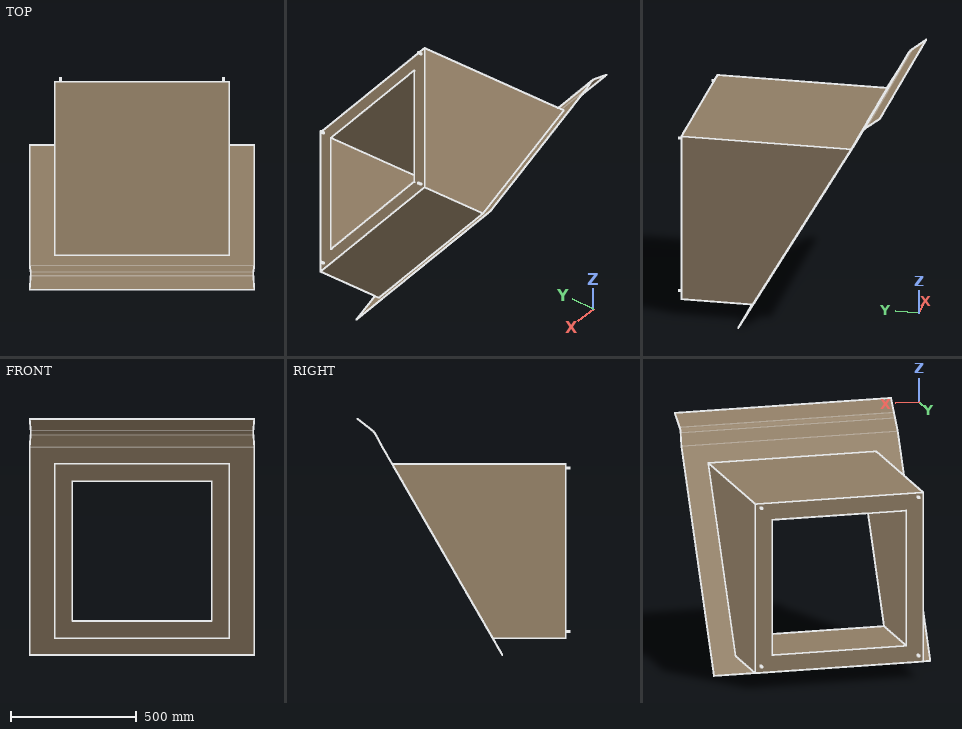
import cadquery as cq
import math

duct_size = 695.0
duct_wall = 70.0
duct_bottom_depth = 290.8

sheet_width = 895.41
sheet_height = 940.3
sheet_thickness = 0.8
panel_drop = 66.0
panel_rise = 828.0
panel_angle = 60.0
apron_angle = 62.0
lip_angle = 38.0
bend_radius = 58.0
bend_inset = 4.8

pin_diameter = 6.0
pin_length = 15.0
pin_spacing = 650.0
pin_lift = 6.0

overall_depth = 844.18

opening_size = duct_size - 2 * duct_wall
duct_mid_z = duct_size / 2
sheet_bottom_z = -panel_drop
sheet_top_z = sheet_bottom_z + sheet_height


def slope(angle):
    """Rise per unit of run at an angle given in degrees."""
    return math.tan(math.radians(angle))


def front_face_points():
    """(Y, Z) corners of the sheet's front face, from the lower edge up to the lip edge."""
    bottom_y = -duct_bottom_depth + panel_drop / slope(panel_angle)
    apron_y = bottom_y - panel_rise / slope(panel_angle)
    apron_z = sheet_bottom_z + panel_rise
    lip_y = pin_length - overall_depth
    lip_z = sheet_top_z - sheet_thickness * math.cos(math.radians(lip_angle))
    rise_left = lip_z - apron_z - slope(lip_angle) * (apron_y - lip_y)
    bend_run = rise_left / (slope(apron_angle) - slope(lip_angle))
    bend_y = apron_y - bend_run
    bend_z = apron_z + bend_run * slope(apron_angle)
    return [(bottom_y, sheet_bottom_z), (apron_y, apron_z), (bend_y, bend_z), (lip_y, lip_z)]


def behind(point, angle_below, angle_above):
    """The rear-face corner opposite a front-face corner lying between two slopes."""
    middle = math.radians((angle_below + angle_above) / 2)
    half_turn = math.radians((angle_below - angle_above) / 2)
    reach = sheet_thickness / math.cos(half_turn)
    return (point[0] + reach * math.sin(middle), point[1] + reach * math.cos(middle))


def extrude_across(points, width):
    """Extrude a (Y, Z) outline along X, centred on X = 0."""
    return cq.Workplane("YZ").polyline(points).close().extrude(width / 2, both=True)


def make_sheet(front):
    """Bent sheet of constant thickness with its side edges tapered in to the bend."""
    bottom, apron, bend, lip = front
    rear_bend = behind(bend, apron_angle, lip_angle)
    rear = [
        behind(lip, lip_angle, lip_angle),
        rear_bend,
        behind(apron, panel_angle, apron_angle),
        behind(bottom, panel_angle, panel_angle),
    ]
    sheet = extrude_across(front + rear, sheet_width)
    for corner, radius in ((bend, bend_radius), (rear_bend, bend_radius + sheet_thickness)):
        edge = cq.selectors.NearestToPointSelector((0, corner[0], corner[1]))
        sheet = sheet.edges("|X").edges(edge).fillet(radius)
    half_width = sheet_width / 2
    for side in (-1, 1):
        notch = [
            (side * half_width, apron[1]),
            (side * (half_width - bend_inset), bend[1]),
            (side * half_width, sheet_top_z),
        ]
        sheet = sheet.cut(cq.Workplane("XZ").polyline(notch).close().extrude(overall_depth))
    return sheet


def make_duct():
    """Square sleeve whose front is cut flush with the sheet's front face."""
    duct_top_depth = duct_bottom_depth + duct_size / slope(panel_angle)
    outline = [(0, 0), (0, duct_size), (-duct_top_depth, duct_size), (-duct_bottom_depth, 0)]
    return extrude_across(outline, duct_size)


def make_opening():
    """Square passage through the duct and the sheet."""
    passage = cq.Workplane("XY").box(opening_size, 2 * overall_depth, opening_size)
    return passage.translate((0, 0, duct_mid_z))


def make_pins():
    """Four pins at the corners of a square, standing out from the rear face."""
    rear_face = cq.Workplane("XZ").center(0, duct_mid_z + pin_lift)
    pin_places = rear_face.rect(pin_spacing, pin_spacing, forConstruction=True).vertices()
    return pin_places.circle(pin_diameter / 2).extrude(-pin_length)


sheet = make_sheet(front_face_points())
duct = make_duct()
result = sheet.cut(duct).union(duct).cut(make_opening()).union(make_pins())